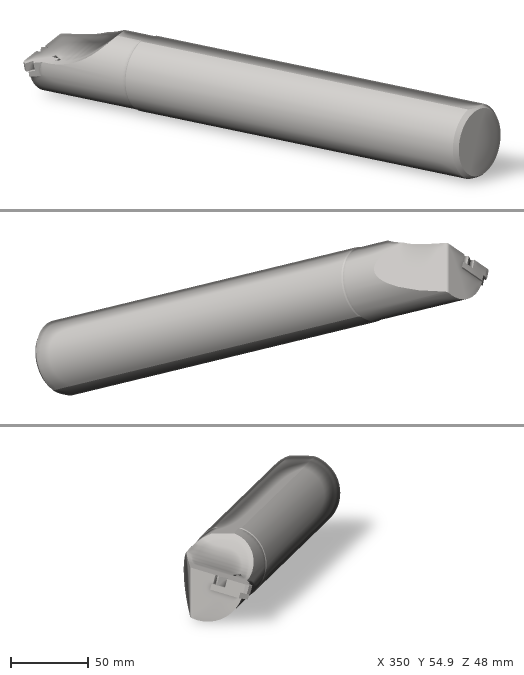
import cadquery as cq
import math

overall_length = 350.0

shank_diameter = 50.0
shank_flat_height = 23.5
rear_chamfer_length = 3.0
rear_chamfer_depth = 2.5
front_chamfer_length = 1.0

head_diameter = 49.0
head_end_x = 80.0
head_face_x = 1.4
taper_angle = 15.0
taper_end_x = 53.0
nose_radius = 2.0

chip_face_tilt = 15.0
tip_y = -29.91
scoop_start_x = 17.0
scoop_radius = 65.0

insert_edge = 27.5
insert_thickness = 6.0
insert_corner_width = 3.6
notch_root_radius = 6.9
notch_mouth_radius = 8.0
tooth_relief_start = 5.9
tooth_relief_end = 3.5
tooth_relief_depth = 0.4

seat_thickness = 4.0
seat_cut_front = 7.8
seat_cut_side = 4.85

cutter_size = 200.0

shank_radius = shank_diameter / 2
head_radius = head_diameter / 2
tilt = math.radians(chip_face_tilt)
triangle_inradius = insert_edge / (2 * math.sqrt(3))
triangle_circumradius = 2 * triangle_inradius


def rotated(point, degrees):
    """Turn a point of the chip face about the triangle centre."""
    angle = math.radians(degrees)
    x, y = point
    return (x * math.cos(angle) - y * math.sin(angle), x * math.sin(angle) + y * math.cos(angle))


def near_corner(along, side, inset=0.0):
    """Point near the sharp +X corner: along an edge (side is +1 or -1), then inset from it."""
    half_corner = math.radians(30)
    x = triangle_circumradius - along * math.cos(half_corner) - inset * math.sin(half_corner)
    y = along * math.sin(half_corner) - inset * math.cos(half_corner)
    return (x, side * y)


heel_corner, rear_corner, cutting_corner = 120, 0, 240
corner_angles = (rear_corner, heel_corner, cutting_corner)

tooth_tip = near_corner(insert_corner_width, 1)
tip_offset = rotated(tooth_tip, cutting_corner)

centre_y = tip_y - tip_offset[1] * math.cos(tilt)
centre_z = -tip_offset[1] * math.sin(tilt)
chip_face = cq.Plane(
    origin=(triangle_inradius, centre_y, centre_z),
    xDir=(1, 0, 0),
    normal=(0, -math.sin(tilt), math.cos(tilt)),
)


def bar(radius, start_x, end_x):
    return cq.Workplane("YZ", origin=(start_x, 0, 0)).circle(radius).extrude(end_x - start_x)


def make_shank():
    shank = bar(shank_radius, head_end_x, overall_length)
    shank = shank.faces(">X").chamfer(rear_chamfer_length, rear_chamfer_depth)
    shank = shank.faces("<X").chamfer(front_chamfer_length, shank_radius - head_radius)
    flats = cq.Workplane("XY").box(2 * overall_length, 2 * shank_diameter, 2 * shank_flat_height)
    return shank.intersect(flats)


def make_head():
    head = bar(head_radius, head_face_x, head_end_x)
    taper_start_y = head_radius - (taper_end_x - head_face_x) * math.tan(math.radians(taper_angle))
    outline = (
        cq.Workplane("XY", origin=(0, 0, -head_radius))
        .moveTo(head_face_x, -head_radius)
        .lineTo(head_end_x, -head_radius)
        .lineTo(head_end_x, head_radius)
        .lineTo(taper_end_x, head_radius)
        .lineTo(head_face_x, taper_start_y)
        .close()
        .extrude(head_radius + shank_flat_height)
    )
    nose = cq.selectors.NearestToPointSelector((head_face_x, taper_start_y, 0))
    return head.intersect(outline.edges(nose).fillet(nose_radius))


def make_chip_scoop():
    """Space above the chip face: flat at the front, then an arc rising towards the shank."""
    start = scoop_start_x - triangle_inradius
    middle_sweep = math.radians(90) / 2
    profile_plane = cq.Plane(
        origin=chip_face.origin.toTuple(),
        xDir=(1, 0, 0),
        normal=(0, -math.cos(tilt), -math.sin(tilt)),
    )
    return (
        cq.Workplane(profile_plane)
        .moveTo(-cutter_size, 0)
        .lineTo(start, 0)
        .threePointArc(
            (
                start + scoop_radius * math.sin(middle_sweep),
                scoop_radius * (1 - math.cos(middle_sweep)),
            ),
            (start + scoop_radius, scoop_radius),
        )
        .lineTo(-cutter_size, scoop_radius)
        .close()
        .extrude(cutter_size / 2, both=True)
    )


def make_pocket():
    """Sharp triangular recess that takes the insert, open above the chip face."""
    corners = [rotated((triangle_circumradius, 0), angle) for angle in corner_angles]
    pocket_floor = cq.Workplane(chip_face).workplane(offset=-insert_thickness)
    return pocket_floor.polyline(corners).close().extrude(insert_thickness + head_radius)


def make_seat():
    """Ledge under the insert, level with its edges and cut back below the tip."""
    corners = [rotated((triangle_circumradius, 0), angle) for angle in (rear_corner, heel_corner)]
    corners.append(rotated(near_corner(seat_cut_front, -1), cutting_corner))
    corners.append(rotated(near_corner(seat_cut_side, 1), cutting_corner))
    return (
        cq.Workplane(chip_face)
        .workplane(offset=-insert_thickness)
        .polyline(corners)
        .close()
        .extrude(-seat_thickness)
    )


def make_holder():
    head = make_head().cut(make_chip_scoop()).union(make_seat()).cut(make_pocket())
    return head.union(make_shank())


def make_insert():
    """Triangle whose cut corners each carry a tooth set off by a notch."""
    mouth_half_width = (triangle_circumradius - notch_mouth_radius) / math.sqrt(3)
    corner_profile = [
        near_corner(tooth_relief_start, -1),
        near_corner(tooth_relief_end, -1, tooth_relief_depth),
        tooth_tip,
        (notch_root_radius, tooth_tip[1]),
        (notch_mouth_radius, mouth_half_width),
    ]
    outline = [rotated(point, angle) for angle in corner_angles for point in corner_profile]
    return cq.Workplane(chip_face).polyline(outline).close().extrude(-insert_thickness)


holder = make_holder()
insert = make_insert()

result = cq.Compound.makeCompound([holder.val(), insert.val()])